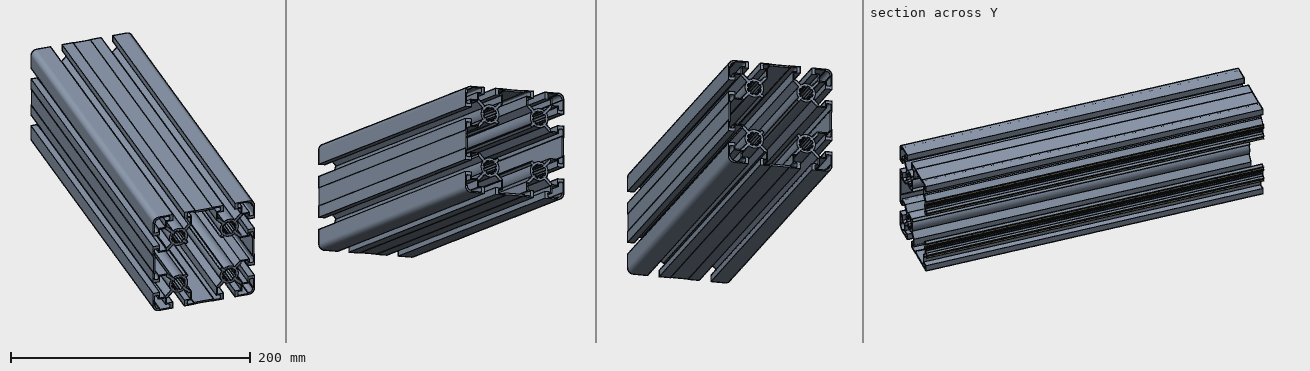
import cadquery as cq
import math

length = 300.0
width = 90.0
half = width / 2
core_offset = width / 4

slot_opening = 10.2
slot_inner_width = 21.0
slot_depth = 12.0
lip_depth = 5.7
lip_end_wall = 2.7
lip_hollow_fillet = 1.0

wall = 1.0
thick_wall = 1.8
corner_radius = 5.0
corner_pad = 5.7
middle_pad_width = 17.7
groove_width = 15.3
groove_depth = 0.3

tube_radius = 8.0
bore_radius = 6.0
rib_bore_radius = 5.0
rib_width = 2.0
rib_count = 8
web_thickness = 2.55
stub_reach = 10.5

lip_outer = core_offset + slot_opening / 2
lip_inner = core_offset - slot_opening / 2
slot_outer = core_offset + slot_inner_width / 2
slot_inner = core_offset - slot_inner_width / 2
lip_floor = half - lip_depth
slot_floor = half - slot_depth


def section():
    """Cross-section plane at the -X end: local x is Y, local y is Z."""
    return cq.Workplane("YZ", origin=(-length / 2, 0, 0))


def prism(points):
    return section().polyline(points).close().extrude(length)


def block(y_min, y_max, z_min, z_max):
    return prism([(y_min, z_min), (y_max, z_min), (y_max, z_max), (y_min, z_max)])


def lip_hollow(y_min, y_max, rounded_side):
    """Cavity between the outer wall and a lip, rounded at its closed end."""
    hollow = block(y_min, y_max, lip_floor + wall, half - wall)
    return hollow.faces(rounded_side).edges("|X").fillet(lip_hollow_fillet)


def mirrored_diagonally(shape):
    """Swap Y and Z."""
    return shape.rotate((0, 0, 0), (1, 0, 0), 90).mirror("XZ")


def corner_chamber():
    """Hollow box at the +Y +Z corner with a slot lip on each of its two arms."""
    body = block(slot_outer, half, slot_outer, half)
    arm = block(lip_outer, half, lip_floor, half)
    body = body.union(arm).union(mirrored_diagonally(arm))
    rounding = block(0, half, 0, half).edges("|X and >Y and >Z").fillet(corner_radius)
    body = body.intersect(rounding)

    room = block(slot_outer + wall, half - wall, slot_outer + wall, half - wall)
    arm_hollow = lip_hollow(lip_outer + lip_end_wall, half - wall, "<Y")
    room = room.union(arm_hollow).union(mirrored_diagonally(arm_hollow))

    pad_start = half - corner_pad
    pad = block(pad_start, half, pad_start, half)
    pad_room = block(0, half - thick_wall, 0, half - thick_wall)
    pad_room = pad_room.edges("|X and >Y and >Z").fillet(corner_radius - thick_wall)
    return body.cut(room.cut(pad.cut(pad_room)))


def side_bar():
    """Middle strip of the +Z side: two slot lips, a thick pad and a shallow groove."""
    bar = block(-lip_inner, lip_inner, lip_floor, half)
    bar = bar.union(block(-slot_inner, slot_inner, slot_floor, lip_floor))
    hollow_end = lip_inner - lip_end_wall
    bar = bar.cut(lip_hollow(-hollow_end, 0, "<Y"))
    bar = bar.cut(lip_hollow(0, hollow_end, ">Y"))
    inner_face = slot_inner - wall
    bar = bar.cut(block(-inner_face, inner_face, slot_floor, half - wall))

    pad_half = middle_pad_width / 2
    bar = bar.union(block(-pad_half, pad_half, half - thick_wall, half))
    groove_half = groove_width / 2
    return bar.cut(block(-groove_half, groove_half, half - groove_depth, half))


def ribbed_bore():
    """Bore of a screw tube, with flat-tipped ribs left standing around it."""
    bore = section().center(core_offset, core_offset).circle(bore_radius).extrude(length)
    ribs = (
        section()
        .center(core_offset, core_offset)
        .polarArray(bore_radius, 0, 360, rib_count)
        .rect(2 * (bore_radius - rib_bore_radius), rib_width)
        .extrude(length)
    )
    return bore.cut(ribs)


def diagonal_bar(start, end, angle):
    """Bar of web thickness between two distances from the tube centre, along an angle from Y."""
    return (
        section()
        .center(core_offset, core_offset)
        .transformed(rotate=(0, 0, angle))
        .center((start + end) / 2, 0)
        .rect(end - start, web_thickness)
        .extrude(length)
    )


def screw_tube():
    """Ribbed tube in the +Y +Z quarter with three webs and a short free stub."""
    tube = section().center(core_offset, core_offset).circle(tube_radius).extrude(length)

    web_reach = slot_inner_width
    trim = block(slot_inner - wall, slot_outer, slot_inner - wall, slot_outer)
    side_webs = diagonal_bar(-web_reach, web_reach, 135).intersect(trim)

    corner_reach = math.sqrt(2) * (slot_inner_width + wall) / 2
    corner_web = diagonal_bar(-stub_reach, corner_reach, 45)
    tube = tube.union(side_webs).union(corner_web)
    return tube.cut(ribbed_bore())


result = None
for quarter in range(4):
    for part in (corner_chamber(), side_bar(), screw_tube()):
        turned = part.rotate((0, 0, 0), (1, 0, 0), 90 * quarter)
        result = turned if result is None else result.union(turned)
result = result.clean()